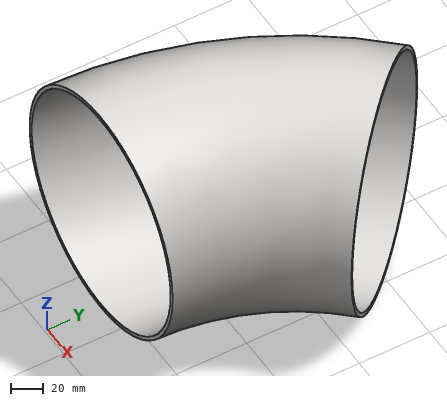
import cadquery as cq
import math

overall_length = 220.7
outer_diameter = 168.5
wall_thickness = 2.6
bend_angle = 45.0

outer_radius = outer_diameter / 2
inner_radius = outer_radius - wall_thickness
bend_radius = overall_length / math.sin(math.radians(bend_angle)) - outer_radius

ring_section = cq.Workplane("XZ").circle(outer_radius).circle(inner_radius)
result = ring_section.revolve(bend_angle, (bend_radius, 0, 0), (bend_radius, -1, 0))